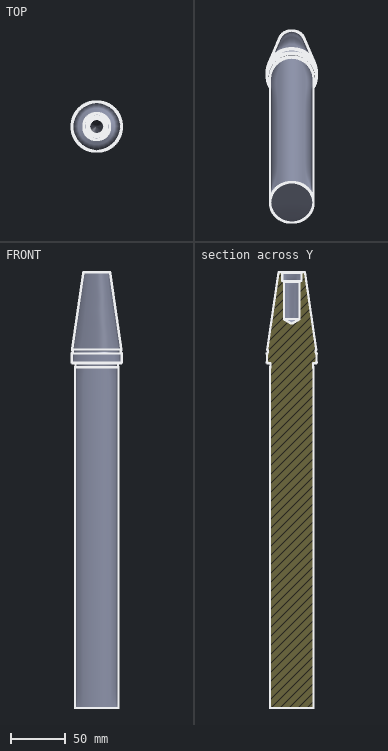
import cadquery as cq
import math

total_length = 398.25

gauge_diameter = 44.45
taper_ratio = 7 / 24
shank_length = 68.4
taper_overrun = 2.6
tip_chamfer = 0.5
tip_diameter = gauge_diameter - shank_length * taper_ratio
taper_end_diameter = gauge_diameter + taper_overrun * taper_ratio

groove_root_diameter = 44.0
groove_width = 3.6
collar_diameter = 46.0
collar_height = 9.0
collar_chamfer = 1.0

body_diameter = 40.0
neck_diameter = 39.0
neck_height = 3.3
body_end_diameter = 39.4
body_chamfer = (body_diameter - body_end_diameter) / 2

countersink_diameter = 19.0
counterbore_diameter = 17.0
counterbore_depth = 8.2
thread_diameter = 16.0
bore_diameter = 13.84
bore_depth = 43.0
drill_point_angle = 118.0

tip_z = shank_length
taper_end_z = -taper_overrun
collar_top_z = taper_end_z - groove_width
collar_bottom_z = collar_top_z - collar_height
body_top_z = collar_bottom_z - neck_height
bottom_z = tip_z - total_length


def make_arbor():
    """Solid arbor: the outer profile revolved about Z."""
    tip_radius = tip_diameter / 2
    collar_radius = collar_diameter / 2
    neck_radius = neck_diameter / 2
    body_radius = body_diameter / 2
    body_end_radius = body_end_diameter / 2
    chamfer_end_radius = tip_radius + tip_chamfer * taper_ratio / 2
    groove_middle = (groove_root_diameter / 2, (taper_end_z + collar_top_z) / 2)
    return (
        cq.Workplane("XZ")
        .moveTo(0, tip_z)
        .lineTo(tip_radius - tip_chamfer, tip_z)
        .lineTo(chamfer_end_radius, tip_z - tip_chamfer)
        .lineTo(taper_end_diameter / 2, taper_end_z)
        .threePointArc(groove_middle, (collar_radius, collar_top_z))
        .lineTo(collar_radius, collar_bottom_z + collar_chamfer)
        .lineTo(collar_radius - collar_chamfer, collar_bottom_z)
        .lineTo(neck_radius, collar_bottom_z)
        .lineTo(neck_radius, body_top_z)
        .lineTo(body_end_radius, body_top_z)
        .lineTo(body_radius, body_top_z - body_chamfer)
        .lineTo(body_radius, bottom_z + body_chamfer)
        .lineTo(body_end_radius, bottom_z)
        .lineTo(0, bottom_z)
        .close()
        .revolve(360, (0, 0, 0), (0, 1, 0))
    )


def make_tip_hole():
    """Counterbored blind hole with countersunk mouths and a drill-point bottom."""
    counterbore_radius = counterbore_diameter / 2
    bore_radius = bore_diameter / 2
    thread_radius = thread_diameter / 2
    countersink_depth = countersink_diameter / 2 - counterbore_radius
    counterbore_z = tip_z - counterbore_depth
    thread_chamfer = thread_radius - bore_radius
    bore_end_z = tip_z - bore_depth
    point_height = bore_radius / math.tan(math.radians(drill_point_angle / 2))
    return (
        cq.Workplane("XZ")
        .moveTo(0, tip_z)
        .lineTo(countersink_diameter / 2, tip_z)
        .lineTo(counterbore_radius, tip_z - countersink_depth)
        .lineTo(counterbore_radius, counterbore_z)
        .lineTo(thread_radius, counterbore_z)
        .lineTo(bore_radius, counterbore_z - thread_chamfer)
        .lineTo(bore_radius, bore_end_z)
        .lineTo(0, bore_end_z - point_height)
        .close()
        .revolve(360, (0, 0, 0), (0, 1, 0))
    )


result = make_arbor().cut(make_tip_hole())